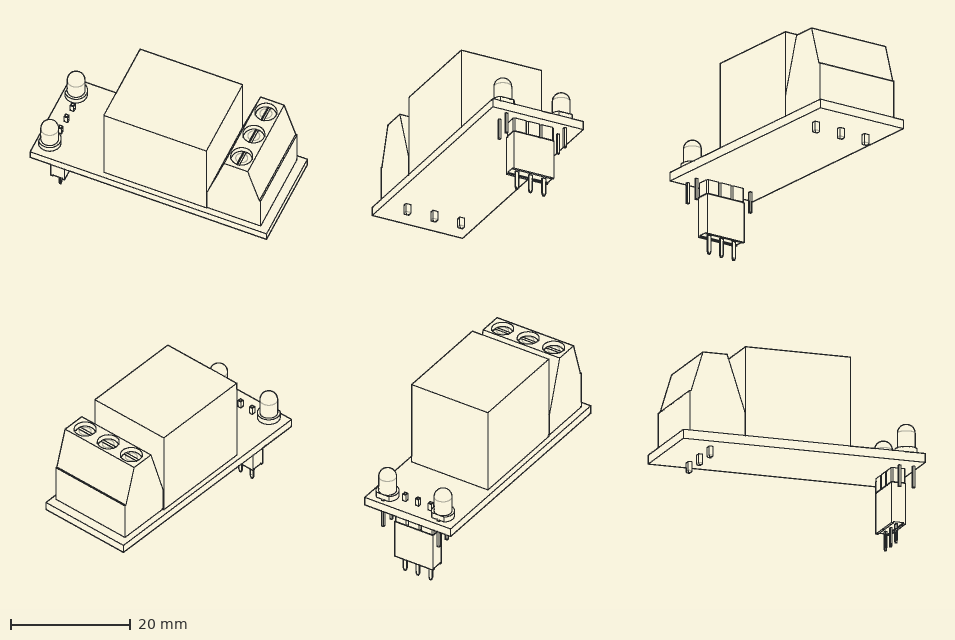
import cadquery as cq
import math


board_length = 43.1
board_width = 17.1
board_thickness = 1.55

relay_start = 13.0
relay_length = 18.7
relay_width = 15.2
relay_y = 0.04
relay_height = 15.7

standoff = 0.28

pole_count = 3
pole_pitch = 5.08
terminal_start = 31.83
terminal_length = 9.8
terminal_width = pole_count * pole_pitch
terminal_height = 13.78
terminal_top_start = 34.97
terminal_top_length = 4.3
relay_side_shoulder = 4.1
entry_side_shoulder = 6.88
entry_side_ledge = 0.25

screw_x = 37.05
screw_diameter = 3.68
screw_flat_diameter = 2.0
screw_recess = 0.45
screw_slot_width = 0.5
screw_slot_depth = 0.6
terminal_pin_x_size = 0.72
terminal_pin_y_size = 0.95
terminal_pin_drop = 1.85
terminal_pin_end_radius = 0.34

led_x = 2.28
led_y_positions = (5.47, -5.57)
led_diameter = 3.0
led_flange_diameter = 3.85
led_flange_height = 1.0
led_height = 5.32
led_lead_size = 0.4
led_lead_x_positions = (0.98, 3.46)
led_lead_drop = 3.65

header_x = 3.0
header_y = -0.12
header_ways = 3
header_pitch = 2.54
header_corner = 0.25
header_socket_gap = 0.1
header_pin_size = 0.64
header_pin_rise = 1.4
header_pin_tip = 0.1
socket_bottom = -9.58
socket_channel_width = 1.75
socket_channel_depth = 0.2
socket_lead_thickness = 0.25
socket_lead_tip = 0.5
socket_lead_tip_inset = 0.18

overall_height = 29.9
board_top = board_thickness
seat = board_top + standoff
relay_top = board_top + relay_height
socket_top = -header_pitch
socket_lead_bottom = relay_top - overall_height


def block(x_size, y_size, z_low, z_high, x, y):
    """Upright box centred on (x, y)."""
    box = cq.Workplane("XY").box(x_size, y_size, z_high - z_low, centered=(True, True, False))
    return box.translate((x, y, z_low))


def row(count, pitch, centre):
    """Evenly spaced positions about a centre."""
    return [centre + pitch * (i - (count - 1) / 2) for i in range(count)]


def make_board():
    return block(board_length, board_width, 0, board_top, board_length / 2, 0)


def make_relay():
    return block(relay_length, relay_width, board_top, relay_top, relay_start + relay_length / 2, relay_y)


def make_screw_cavity(y):
    """Space above a round-edged, slotted screw head sunk in the terminal top."""
    top = seat + terminal_height
    radius = screw_diameter / 2
    flat_radius = screw_flat_diameter / 2
    edge_radius = radius - flat_radius
    flat_z = top - screw_recess
    rim_z = flat_z - edge_radius
    slot_z = flat_z - screw_slot_depth
    arc_middle = (flat_radius + edge_radius * math.sqrt(0.5), rim_z + edge_radius * math.sqrt(0.5))
    cavity = (
        cq.Workplane("XZ")
        .moveTo(0, top)
        .lineTo(radius, top)
        .lineTo(radius, rim_z)
        .threePointArc(arc_middle, (flat_radius, flat_z))
        .lineTo(0, flat_z)
        .close()
        .revolve(360, (0, 0, 0), (0, 1, 0))
        .translate((screw_x, y, 0))
    )
    bore = cq.Workplane("XY", origin=(screw_x, y, slot_z)).circle(radius).extrude(top - slot_z)
    slot = block(screw_slot_width, screw_diameter, slot_z, top, screw_x, y)
    return cavity.union(slot.intersect(bore))


def make_terminal_pin(y):
    pin = block(terminal_pin_x_size, terminal_pin_y_size, -terminal_pin_drop, seat, screw_x, y)
    return pin.faces("<Z").edges().fillet(terminal_pin_end_radius)


def make_terminal():
    end = terminal_start + terminal_length
    top = seat + terminal_height
    profile = [
        (terminal_start, seat),
        (end, seat),
        (end, seat + entry_side_shoulder),
        (end - entry_side_ledge, seat + entry_side_shoulder),
        (terminal_top_start + terminal_top_length, top),
        (terminal_top_start, top),
        (terminal_start, seat + relay_side_shoulder),
    ]
    terminal = cq.Workplane("XZ").polyline(profile).close().extrude(terminal_width / 2, both=True)
    for y in row(pole_count, pole_pitch, 0):
        terminal = terminal.cut(make_screw_cavity(y)).union(make_terminal_pin(y))
    return terminal


def make_led(y):
    radius = led_diameter / 2
    base = cq.Workplane("XY", origin=(led_x, y, seat))
    dome_start = led_height - radius
    dome = cq.Workplane("XY").sphere(radius).translate((led_x, y, seat + dome_start))
    body = base.circle(radius).extrude(dome_start).union(dome)
    flange = base.circle(led_flange_diameter / 2).extrude(led_flange_height)
    kept_x = led_x - radius + led_flange_diameter / 2
    kept = block(led_flange_diameter, led_flange_diameter, seat, seat + led_flange_height, kept_x, y)
    led = body.union(flange.intersect(kept))
    for x in led_lead_x_positions:
        led = led.union(block(led_lead_size, led_lead_size, -led_lead_drop, seat, x, y))
    return led


def make_socket_lead(y):
    """Flat lead whose width in Y narrows to a blunt point."""
    half_width = header_pin_size / 2
    half_point = half_width - socket_lead_tip_inset
    tip_root = socket_lead_bottom + socket_lead_tip
    profile = [
        (-half_width, socket_top),
        (half_width, socket_top),
        (half_width, tip_root),
        (half_point, socket_lead_bottom),
        (-half_point, socket_lead_bottom),
        (-half_width, tip_root),
    ]
    lead = cq.Workplane("YZ").polyline(profile).close().extrude(socket_lead_thickness / 2, both=True)
    return lead.translate((header_x, y, 0))


def make_header_way(y):
    """Chamfered housing cell, its pin up through the board and the socket lead below it."""
    cell_bottom = socket_top + header_socket_gap
    cell = block(header_pitch, header_pitch, cell_bottom, 0, header_x, y)
    cell = cell.edges("|Z").chamfer(header_corner)
    pin = block(header_pin_size, header_pin_size, socket_top, board_top + header_pin_rise, header_x, y)
    pin = pin.faces(">Z").chamfer(header_pin_tip)
    return cell.union(pin).union(make_socket_lead(y))


def make_socket():
    length = header_ways * header_pitch
    body = block(header_pitch, length, socket_bottom, socket_top, header_x, header_y)
    channel_top = socket_bottom + socket_channel_depth
    return body.cut(block(socket_channel_width, length, socket_bottom, channel_top, header_x, header_y))


result = make_board().union(make_relay()).union(make_terminal()).union(make_socket())
for led_y in led_y_positions:
    result = result.union(make_led(led_y))
for way_y in row(header_ways, header_pitch, header_y):
    result = result.union(make_header_way(way_y))